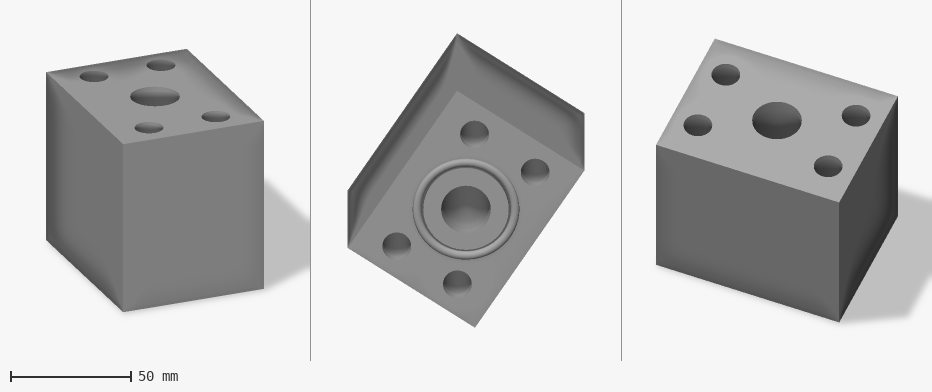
import cadquery as cq

block_length = 82.55
block_width = 63.5
overall_height = 76.9
seal_protrusion = 0.9
block_height = overall_height - seal_protrusion

bore_diameter = 20.6
bolt_diameter = 12.0
bolt_spacing_x = 58.7
bolt_spacing_y = 30.2

groove_outer_diameter = 44.4
groove_inner_diameter = 35.6
seal_wire_diameter = 3.55
seal_wire_radius = seal_wire_diameter / 2
groove_depth = seal_wire_diameter - seal_protrusion
seal_center_radius = groove_outer_diameter / 2 - seal_wire_radius
seal_center_height = groove_depth - seal_wire_radius


def make_block():
    """Rectangular block standing on Z = 0, with bore, bolt holes and seal groove."""
    blank = cq.Workplane("XY").box(
        block_length, block_width, block_height, centered=(True, True, False)
    )
    bored = blank.faces(">Z").workplane().hole(bore_diameter)
    drilled = (
        bored.faces(">Z")
        .workplane()
        .rarray(bolt_spacing_x, bolt_spacing_y, 2, 2)
        .hole(bolt_diameter)
    )
    groove = (
        cq.Workplane("XY")
        .circle(groove_outer_diameter / 2)
        .circle(groove_inner_diameter / 2)
        .extrude(groove_depth)
    )
    return drilled.cut(groove).solids()


def make_seal_ring():
    """Round-section ring resting on the groove floor and against its outer wall."""
    return (
        cq.Workplane("XZ")
        .center(seal_center_radius, seal_center_height)
        .circle(seal_wire_radius)
        .revolve(360, (-seal_center_radius, 0), (-seal_center_radius, 1))
    )


block = make_block()
seal_ring = make_seal_ring()

result = cq.Compound.makeCompound([block.val(), seal_ring.val()])